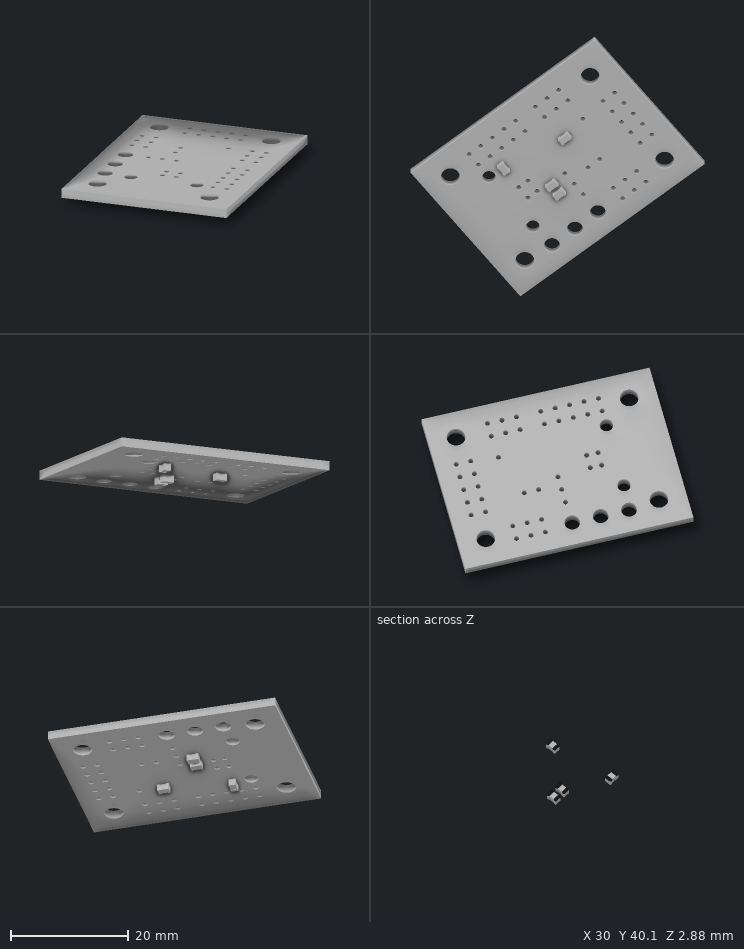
import cadquery as cq

board_length_x = 29.972
board_length_y = 40.132
board_thickness = 1.57

pitch = 2.54
pin_grid = (pitch, pitch)

mount_diameter = 3.2
mount_spacing = (8 * pitch, 12 * pitch)

header_diameter = 0.89
upper_right_diameter = 0.91
top_header_center = (0, 6 * pitch)
left_header_center = (-4 * pitch, 3 * pitch)
upper_right_header_center = (4 * pitch, 6.825)
lower_right_header_center = (4 * pitch, -2 * pitch)

jumper_diameter = 0.89
single_hole_center = (4.6, 9.2)
pair_center = (-3.175, 5.4)
row_center = (-4.1275, 0.3175)

usb_pin_diameter = 0.92
usb_pin_spacing = (2.5, 2.0)
usb_pin_center = (0, -6.46)
usb_shell_diameter = 2.3
usb_shell_spacing = 12.0
usb_shell_center = (0, -4 * pitch)

jack_diameter = 2.7
jack_pitch = 5.0
jack_center = (-10.8, -4.81)

chip_length = 2.0
chip_width = 1.25
chip_height = 1.25
terminal_length = 0.4
terminal_edge_radius = 0.03
core_inset = 0.06
solder_gap = 0.06
core_length = chip_length - 2 * terminal_length

chip_places = [
    (-3.66, -2.54, 90),
    (-1.586, -2.54, 90),
    (3.975, 4.762, 90),
    (6.05, -6.98, 0),
]


def drill(board, diameter, center, spacing=(1, 1), counts=(1, 1)):
    """Cut a grid of round through holes into the board, the grid centred on a point."""
    drills = (
        cq.Workplane("XY")
        .center(*center)
        .rarray(*spacing, *counts)
        .circle(diameter / 2)
        .extrude(board_thickness)
    )
    return board.cut(drills)


def make_board():
    """Flat board with all its mounting, header and connector holes."""
    board = cq.Workplane("XY").rect(board_length_x, board_length_y).extrude(board_thickness)

    board = drill(board, mount_diameter, (0, 0), mount_spacing, (2, 2))

    board = drill(board, header_diameter, top_header_center, pin_grid, (5, 2))
    board = drill(board, header_diameter, left_header_center, pin_grid, (2, 3))
    board = drill(board, upper_right_diameter, upper_right_header_center, pin_grid, (2, 3))
    board = drill(board, header_diameter, lower_right_header_center, pin_grid, (2, 5))

    board = drill(board, jumper_diameter, single_hole_center)
    board = drill(board, jumper_diameter, pair_center, pin_grid, (1, 2))
    board = drill(board, jumper_diameter, row_center, pin_grid, (3, 1))

    board = drill(board, usb_pin_diameter, usb_pin_center, usb_pin_spacing, (2, 2))
    board = drill(board, usb_shell_diameter, usb_shell_center, (usb_shell_spacing, 1), (2, 1))

    return drill(board, jack_diameter, jack_center, (1, jack_pitch), (1, 3))


def make_chip(x, y, angle):
    """Chip component: a core between two slightly thicker end terminals with rounded long edges."""
    chip = cq.Workplane("XY").box(core_length, chip_width - 2 * core_inset, chip_height - 2 * core_inset)
    terminal = (
        cq.Workplane("XY")
        .box(terminal_length, chip_width, chip_height)
        .edges("|X")
        .fillet(terminal_edge_radius)
    )
    terminal_offset = (core_length + terminal_length) / 2
    for side in (-1, 1):
        chip = chip.union(terminal.translate((side * terminal_offset, 0, 0)))
    center_z = -solder_gap - chip_height / 2
    return chip.rotate((0, 0, 0), (0, 0, 1), angle).translate((x, y, center_z))


board = make_board()
chips = [make_chip(*place) for place in chip_places]

result = cq.Compound.makeCompound([board.val(), *[chip.val() for chip in chips]])